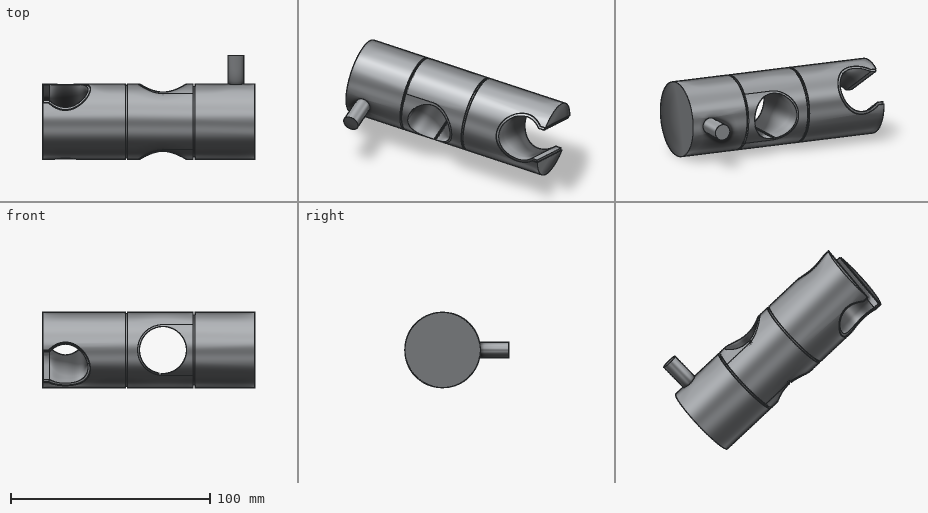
import cadquery as cq
BARREL_RADIUS = 19.0
HEAD_LENGTH = 41.5
WASHER_THICKNESS = 1.0
WASHER_RADIUS = 18.35
CLAMP_LENGTH = 33.0
NECK_LENGTH = 1.0
NECK_RADIUS = 17.7
KNOB_LENGTH = 30.0

WASHER_START = HEAD_LENGTH
CLAMP_START = WASHER_START + WASHER_THICKNESS
CLAMP_END = CLAMP_START + CLAMP_LENGTH
KNOB_START = CLAMP_END + NECK_LENGTH
KNOB_END = KNOB_START + KNOB_LENGTH

CRADLE_TILT = 30.0
CRADLE_X = 11.4
LINER_BORE_RADIUS = 11.3
LINER_SLOT_HALF_WIDTH = 8.0
LINER_WALL = 1.25
LINER_RECESS = 0.4
LINER_END_RADIUS = 18.6
LINER_CHAMFER = 1.0

RAIL_X = 60.4
RAIL_RADIUS = 11.75
INSERT_WALL = 1.0
INSERT_RADIUS = RAIL_RADIUS + INSERT_WALL
SLIT_X = 59.0
SLIT_WIDTH = 1.0

PIN_RADIUS = 4.0
PIN_X = 97.0
PIN_SOCKET_Y = 10.0
PIN_END_Y = 33.25

THROUGH = 4 * BARREL_RADIUS
OPEN_END_X = -1.0


def barrel(start, end, radius):
    """Round bar along X."""
    return cq.Workplane("YZ").workplane(offset=start).circle(radius).extrude(end - start)


def cradle_prism(bore_radius, slot_half_width, slot_start):
    """Keyhole prism along Y: a bore with a slot towards -X."""
    bore = cq.Workplane("XZ").center(CRADLE_X, 0).circle(bore_radius).extrude(THROUGH / 2, both=True)
    slot = cq.Workplane("XY").box(
        CRADLE_X - slot_start, THROUGH, 2 * slot_half_width, centered=(False, True, True)
    ).translate((slot_start, 0, 0))
    return bore.union(slot)


def tilt_cradle(shape):
    """Turn a shape about the barrel axis to the slope of the cradle."""
    return shape.rotate((0, 0, 0), (1, 0, 0), CRADLE_TILT)


def make_head():
    pocket = cradle_prism(
        LINER_BORE_RADIUS + LINER_WALL, LINER_SLOT_HALF_WIDTH + LINER_WALL, OPEN_END_X
    )
    return barrel(0, HEAD_LENGTH, BARREL_RADIUS).cut(tilt_cradle(pocket))


def make_liner():
    outside = cradle_prism(
        LINER_BORE_RADIUS + LINER_WALL, LINER_SLOT_HALF_WIDTH + LINER_WALL, LINER_RECESS
    )
    inside = cradle_prism(LINER_BORE_RADIUS, LINER_SLOT_HALF_WIDTH, OPEN_END_X)
    envelope = barrel(LINER_RECESS, HEAD_LENGTH, LINER_END_RADIUS)
    liner = outside.intersect(envelope).cut(inside)
    lower_end = liner.faces("<Y")
    slot_edges = lower_end.edges("|X").edges("<Y")
    bore_edge = lower_end.edges("%BSPLINE").edges("<Y")
    inner_rim = slot_edges.add(bore_edge)
    return tilt_cradle(inner_rim.chamfer(LINER_CHAMFER))


def make_washer():
    return barrel(WASHER_START, CLAMP_START, WASHER_RADIUS)


def insert_prism():
    """Round-nosed prism along Y that is open to the +X end of the clamp."""
    return (
        cq.Workplane("XZ")
        .moveTo(CLAMP_END, INSERT_RADIUS)
        .lineTo(RAIL_X, INSERT_RADIUS)
        .threePointArc((RAIL_X - INSERT_RADIUS, 0), (RAIL_X, -INSERT_RADIUS))
        .lineTo(CLAMP_END, -INSERT_RADIUS)
        .close()
        .extrude(THROUGH / 2, both=True)
    )


def make_clamp():
    return barrel(CLAMP_START, CLAMP_END, BARREL_RADIUS).cut(insert_prism())


def make_insert():
    rail_bore = cq.Workplane("XZ").center(RAIL_X, 0).circle(RAIL_RADIUS).extrude(THROUGH / 2, both=True)
    slit = cq.Workplane("XY").box(SLIT_WIDTH, THROUGH, BARREL_RADIUS).translate(
        (SLIT_X, 0, -BARREL_RADIUS / 2)
    )
    blank = barrel(CLAMP_START, CLAMP_END, BARREL_RADIUS).intersect(insert_prism())
    return blank.cut(rail_bore).cut(slit)


def make_pin():
    return (
        cq.Workplane("XZ", origin=(0, PIN_SOCKET_Y, 0))
        .center(PIN_X, 0)
        .circle(PIN_RADIUS)
        .extrude(PIN_SOCKET_Y - PIN_END_Y)
    )


def make_knob():
    neck = barrel(CLAMP_END, KNOB_START, NECK_RADIUS)
    return barrel(KNOB_START, KNOB_END, BARREL_RADIUS).union(neck).cut(make_pin())


head = make_head()
liner = make_liner()
washer = make_washer()
clamp = make_clamp()
insert = make_insert()
knob = make_knob()
pin = make_pin()

result = cq.Compound.makeCompound(
    [head.val(), liner.val(), washer.val(), clamp.val(), insert.val(), knob.val(), pin.val()]
)